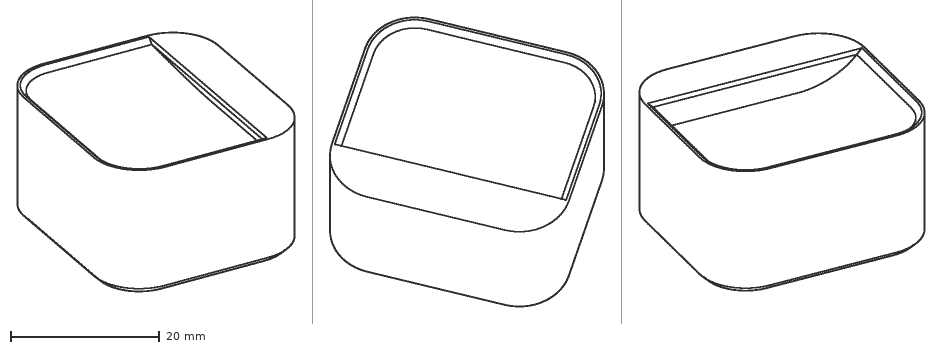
import cadquery as cq
import math

length = 33.25
width = 30.0
height = 19.2
corner_radius = 6.98
base_chamfer = 1.0

wall = 1.2
floor_thickness = 1.0
floor_fillet = 4.0
rim_width = 0.4
rim_chamfer = wall - rim_width

ledge_front_y = width / 2 - corner_radius
underside_angle = 52.0


def rounded_block(inset, bottom, top):
    """Upright block with the outer outline moved inward by inset."""
    return (
        cq.Workplane("XY", origin=(0, 0, bottom))
        .rect(length - 2 * inset, width - 2 * inset)
        .extrude(top - bottom)
        .edges("|Z")
        .fillet(corner_radius - inset)
    )


def make_body():
    return rounded_block(0, 0, height).faces("<Z").chamfer(base_chamfer)


def make_cavity():
    """Cavity with a filleted floor and a mouth flaring out to the rim."""
    bowl = rounded_block(wall, floor_thickness, height).faces("<Z").edges().fillet(floor_fillet)
    mouth_top = height + rim_chamfer
    mouth = rounded_block(rim_width, height - rim_chamfer, mouth_top).faces("<Z").chamfer(rim_chamfer)
    return bowl.union(mouth)


def make_ledge_space():
    """Solid kept out of the cavity: a vertical front edge above a sloping underside."""
    back_y = width / 2
    front_bottom = height - rim_chamfer
    drop = (back_y - ledge_front_y) * math.tan(math.radians(underside_angle))
    return (
        cq.Workplane("YZ")
        .polyline(
            [
                (ledge_front_y, height),
                (ledge_front_y, front_bottom),
                (back_y, front_bottom - drop),
                (back_y, height),
            ]
        )
        .close()
        .extrude(length / 2, both=True)
    )


result = make_body().cut(make_cavity().cut(make_ledge_space()))